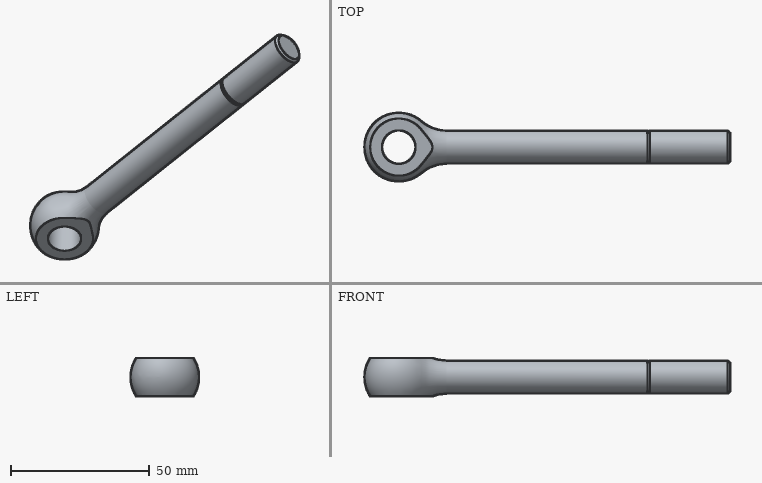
import cadquery as cq
import math

eye_diameter = 25.0
eye_thickness = 14.0
hole_diameter = 12.0
shank_diameter = 12.0
shank_end = 120.0
neck_fillet_radius = 14.0
thread_length = 30.0
thread_chamfer = 0.93

eye_radius = eye_diameter / 2
shank_radius = shank_diameter / 2
thread_start = shank_end - thread_length
chamfer_root_radius = shank_radius - thread_chamfer


def bolt_profile():
    """Half outline of the ball eye, concave neck, plain shank and thread, above the X axis."""
    arc_center_y = shank_radius + neck_fillet_radius
    center_distance = eye_radius + neck_fillet_radius
    arc_center_x = math.sqrt(center_distance**2 - arc_center_y**2)
    ball_tangent_angle = math.atan2(arc_center_y, arc_center_x)
    ball_tangent = (
        eye_radius * math.cos(ball_tangent_angle),
        eye_radius * math.sin(ball_tangent_angle),
    )
    arc_mid_angle = (ball_tangent_angle + math.pi / 2) / 2
    arc_mid = (
        arc_center_x - neck_fillet_radius * math.cos(arc_mid_angle),
        arc_center_y - neck_fillet_radius * math.sin(arc_mid_angle),
    )
    return (
        cq.Workplane("XY")
        .moveTo(-eye_radius, 0)
        .threePointArc((0, eye_radius), ball_tangent)
        .threePointArc(arc_mid, (arc_center_x, shank_radius))
        .lineTo(thread_start, shank_radius)
        .lineTo(thread_start, chamfer_root_radius)
        .lineTo(thread_start + thread_chamfer, shank_radius)
        .lineTo(shank_end - thread_chamfer, shank_radius)
        .lineTo(shank_end, chamfer_root_radius)
        .lineTo(shank_end, 0)
        .close()
    )


def turned_body():
    return bolt_profile().revolve(360, (0, 0, 0), (1, 0, 0))


def eye_slab():
    """Block over the whole bolt that trims the ball to two flat eye faces."""
    slab_length = eye_radius + shank_end
    return (
        cq.Workplane("XY")
        .center(slab_length / 2 - eye_radius, 0)
        .box(slab_length, eye_diameter, eye_thickness)
    )


def eye_hole():
    return cq.Workplane("XY").circle(hole_diameter / 2).extrude(eye_thickness, both=True)


result = turned_body().intersect(eye_slab()).cut(eye_hole())